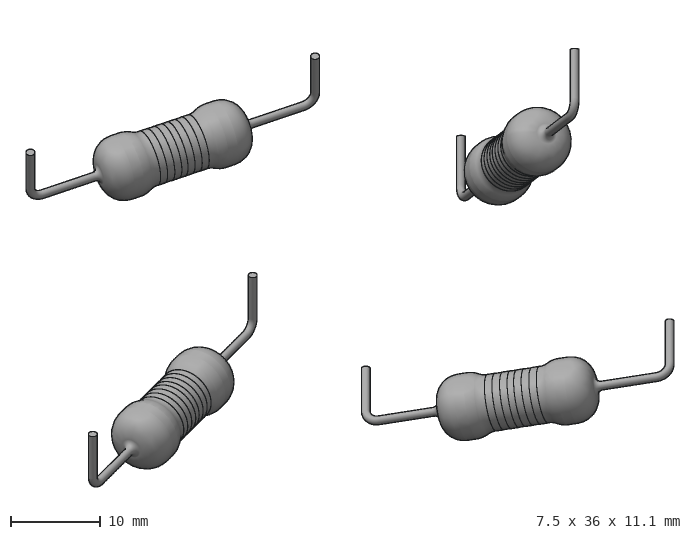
import cadquery as cq

lead_span = 36.0
lead_top = 7.35
lead_diameter = 1.0
bend_radius = 1.5

body_length = 18.0
cap_diameter = 7.5
cap_length = 2.63
cap_land = 1.2
shoulder_length = 2.15
waist_diameter = 6.37
lead_fillet = 0.72

band_diameter = 6.4
band_width = 0.85
band_offsets = (0.81, 2.55)

lead_radius = lead_diameter / 2
cap_radius = cap_diameter / 2
waist_radius = waist_diameter / 2


def make_half_body():
    """Revolve the +Y half of the body: waist, S-shaped shoulder, round cap and lead fillet."""
    end_y = body_length / 2
    land_outer_y = end_y - cap_length
    land_inner_y = land_outer_y - cap_land
    waist_end_y = land_inner_y - shoulder_length
    shoulder_mid = ((waist_radius + cap_radius) / 2, waist_end_y + shoulder_length / 2)
    profile = (
        cq.Workplane("XY")
        .lineTo(waist_radius, 0)
        .lineTo(waist_radius, waist_end_y)
        .tangentArcPoint(shoulder_mid, relative=False)
        .tangentArcPoint((cap_radius, land_inner_y), relative=False)
        .lineTo(cap_radius, land_outer_y)
        .tangentArcPoint((lead_radius + lead_fillet, end_y), relative=False)
        .radiusArc((lead_radius, end_y + lead_fillet), lead_fillet)
        .lineTo(0, end_y + lead_fillet)
        .close()
    )
    return profile.revolve(360, (0, 0, 0), (0, 1, 0))


def make_band(center_y):
    """One thin colour band centred at the given place along the body."""
    start = cq.Workplane("XZ", origin=(0, center_y + band_width / 2, 0))
    return start.circle(band_diameter / 2).extrude(band_width)


def make_lead():
    """Sweep the +Y lead from inside the body, round the bend and up to its tip."""
    start_y = body_length / 4
    upright_y = lead_span / 2 - lead_radius
    path = (
        cq.Workplane("YZ")
        .moveTo(start_y, 0)
        .lineTo(upright_y - bend_radius, 0)
        .tangentArcPoint((upright_y, bend_radius), relative=False)
        .lineTo(upright_y, lead_top)
    )
    return cq.Workplane("XZ", origin=(0, start_y, 0)).circle(lead_radius).sweep(path)


half = make_half_body().union(make_lead())
for offset in band_offsets:
    half = half.union(make_band(offset))

result = half.union(half.rotate((0, 0, 0), (0, 0, 1), 180)).clean()